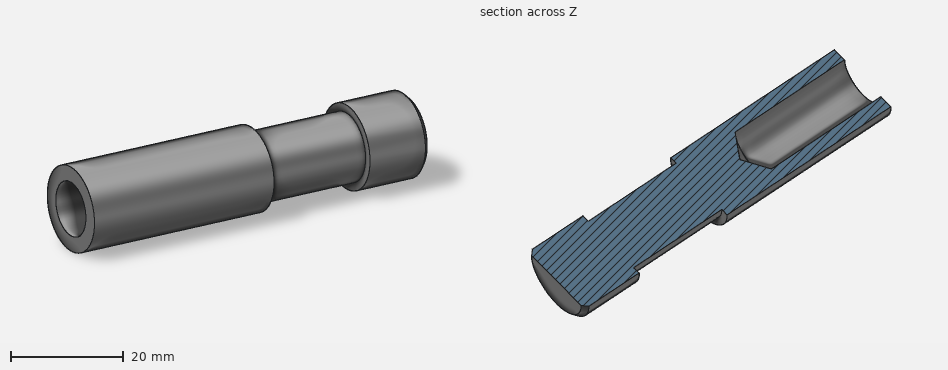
import cadquery as cq
import math

total_length = 70.0
body_diameter = 16.0
neck_diameter = 13.0
head_length = 12.5
neck_length = 20.0
head_chamfer = 1.0
bore_diameter = 10.2
bore_depth = 25.0
drill_point_angle = 118.0

body_radius = body_diameter / 2
neck_radius = neck_diameter / 2
bore_radius = bore_diameter / 2
head_start = total_length - head_length
neck_start = head_start - neck_length
drill_tip = bore_depth + bore_radius / math.tan(math.radians(drill_point_angle / 2))

half_section = (
    cq.Workplane("XY")
    .moveTo(0, drill_tip)
    .lineTo(bore_radius, bore_depth)
    .lineTo(bore_radius, 0)
    .lineTo(body_radius, 0)
    .lineTo(body_radius, neck_start)
    .lineTo(neck_radius, neck_start)
    .lineTo(neck_radius, head_start)
    .lineTo(body_radius, head_start)
    .lineTo(body_radius, total_length - head_chamfer)
    .lineTo(body_radius - head_chamfer, total_length)
    .lineTo(0, total_length)
    .close()
)

result = half_section.revolve(360, (0, 0, 0), (0, 1, 0))